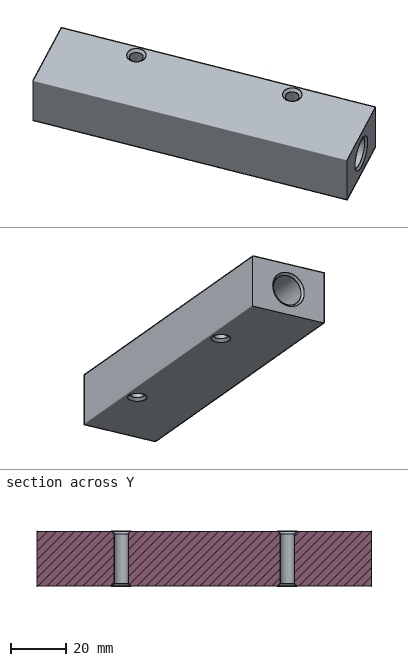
import cadquery as cq

length = 121.0
width = 30.0
height = 20.0
edge_fillet = 0.3

bore_diameter = 11.5
bore_mouth_diameter = 13.2

hole_diameter = 5.0
hole_mouth_diameter = 7.0
hole_spacing = 60.0
hole_offset = 10.5


def countersunk_cutter(diameter, mouth_diameter, depth):
    """Cylinder along Z, centred on the origin, flaring at 45 degrees to each mouth."""
    radius = diameter / 2
    mouth_radius = mouth_diameter / 2
    mouth_z = depth / 2
    flare_z = mouth_z - (mouth_radius - radius)
    return (
        cq.Workplane("XZ")
        .moveTo(0, -mouth_z)
        .lineTo(mouth_radius, -mouth_z)
        .lineTo(radius, -flare_z)
        .lineTo(radius, flare_z)
        .lineTo(mouth_radius, mouth_z)
        .lineTo(0, mouth_z)
        .close()
        .revolve(360, (0, 0, 0), (0, 1, 0))
    )


block = cq.Workplane("XY").box(length, width, height).edges("|X").fillet(edge_fillet)

bore = countersunk_cutter(bore_diameter, bore_mouth_diameter, length)
result = block.cut(bore.rotate((0, 0, 0), (0, 1, 0), 90))

hole = countersunk_cutter(hole_diameter, hole_mouth_diameter, height)
for hole_x in (-hole_spacing / 2, hole_spacing / 2):
    result = result.cut(hole.translate((hole_x, hole_offset, 0)))